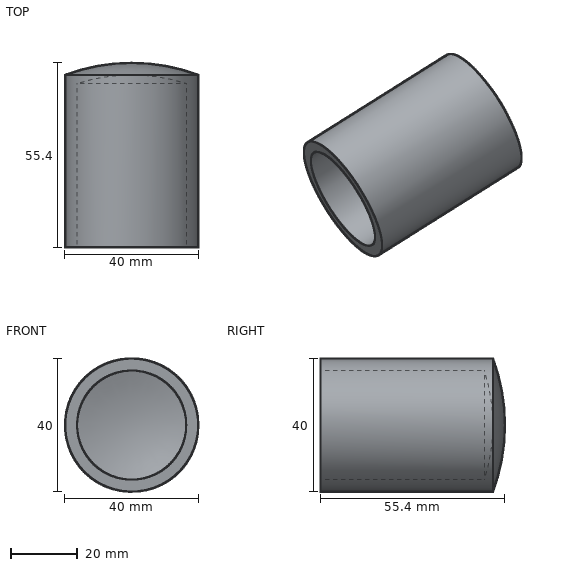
import cadquery as cq
import math

length = 55.35
outer_diameter = 40.0
wall = 3.65
dome_height = 3.65

outer_radius = outer_diameter / 2
bore_radius = outer_radius - wall

outer_dome_radius = (outer_radius**2 + dome_height**2) / (2 * dome_height)
inner_dome_radius = outer_dome_radius - wall
dome_centre_y = length - outer_dome_radius


def domed_cylinder(radius, dome_radius):
    """Solid along Y, starting at Y = 0 and ending in a spherical dome."""
    shoulder_y = dome_centre_y + math.sqrt(dome_radius**2 - radius**2)
    apex_y = dome_centre_y + dome_radius
    half_angle = math.asin(radius / dome_radius) / 2
    arc_middle = (
        dome_radius * math.sin(half_angle),
        dome_centre_y + dome_radius * math.cos(half_angle),
    )
    return (
        cq.Workplane("XY")
        .lineTo(radius, 0)
        .lineTo(radius, shoulder_y)
        .threePointArc(arc_middle, (0, apex_y))
        .close()
        .revolve(360, (0, 0, 0), (0, 1, 0))
    )


body = domed_cylinder(outer_radius, outer_dome_radius)
cavity = domed_cylinder(bore_radius, inner_dome_radius)
result = body.cut(cavity)